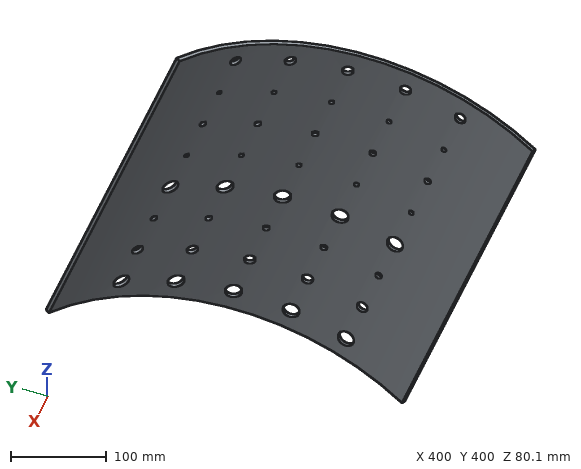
import cadquery as cq
import math

plate_length = 400.0
chord_width = 400.0
outer_radius = 300.0
thickness = 5.0
inner_radius = outer_radius - thickness
half_angle = math.asin(chord_width / 2 / outer_radius)

column_pitch = 50.0
rows_each_side = 2
row_span_fraction = 0.6
row_pitch_angle = math.degrees(row_span_fraction * half_angle / rows_each_side)
large_hole = 18.0
medium_hole = 12.0
small_hole = 7.0
tiny_hole = 5.0
column_diameters = [
    medium_hole,
    tiny_hole,
    small_hole,
    tiny_hole,
    large_hole,
    small_hole,
    medium_hole,
    large_hole,
]

drill_clearance = 10.0
drill_start = inner_radius - drill_clearance
drill_length = thickness + 2 * drill_clearance


def arc_point(radius, angle):
    """Point in the YZ plane, with the angle measured from +Z."""
    return (radius * math.sin(angle), radius * math.cos(angle))


def curved_plate():
    """Arched plate with radially cut long edges."""
    return (
        cq.Workplane("YZ")
        .moveTo(*arc_point(outer_radius, -half_angle))
        .threePointArc(arc_point(outer_radius, 0), arc_point(outer_radius, half_angle))
        .lineTo(*arc_point(inner_radius, half_angle))
        .threePointArc(arc_point(inner_radius, 0), arc_point(inner_radius, -half_angle))
        .close()
        .extrude(plate_length / 2, both=True)
    )


def drill_row():
    """Vertical drills for one row of holes at the crown of the arch."""
    first_x = -column_pitch * (len(column_diameters) - 1) / 2
    drills = cq.Workplane("XY")
    for column, diameter in enumerate(column_diameters):
        drill = (
            cq.Workplane("XY", origin=(first_x + column * column_pitch, 0, drill_start))
            .circle(diameter / 2)
            .extrude(drill_length)
        )
        drills = drills.add(drill)
    return drills.combine()


result = curved_plate()
crown_drills = drill_row()
for row in range(-rows_each_side, rows_each_side + 1):
    radial_drills = crown_drills.rotate((0, 0, 0), (1, 0, 0), row * row_pitch_angle)
    result = result.cut(radial_drills)